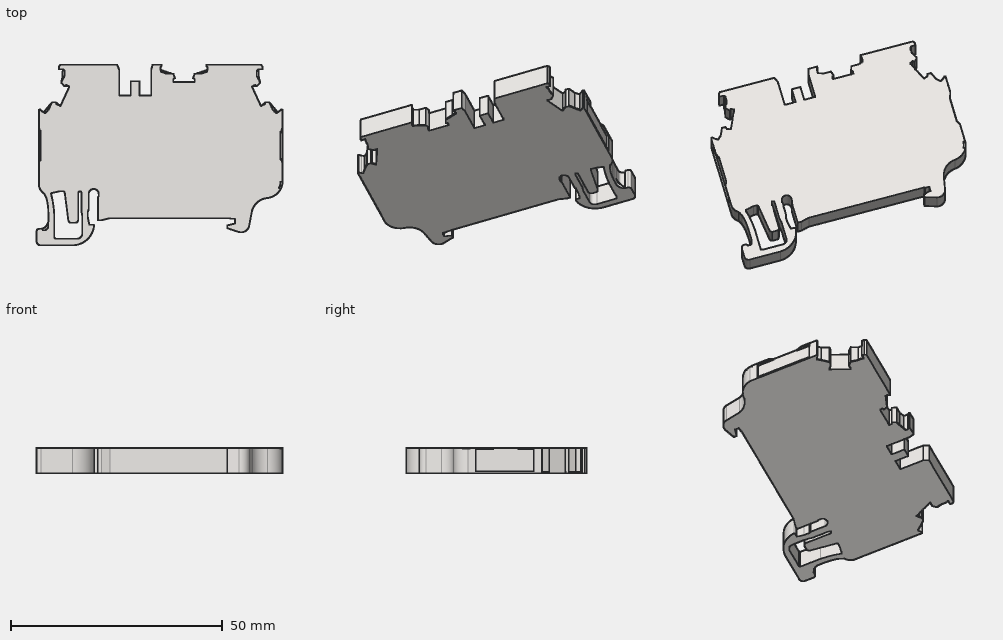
import cadquery as cq
import math

THICKNESS = 6.0
TOP_Y = 42.65
HALF_WIDTH = 28.75
SEAT_Y = 6.4
OVERCUT = 1.0
ARC_INSET = 1 - math.sqrt(0.5)

FOOT_LEFT_X = -29.3
FOOT_TOP_Y = 3.95
FOOT_BOTTOM_RADIUS = 1.0
FOOT_TOP_RADIUS = 0.7
FOOT_ARM_X = -26.5
GUSSET_HEIGHT = 1.8
GUSSET_DROP = 1.7
GUSSET_TOE = (-28.05, FOOT_TOP_Y)
GUSSET_MIDDLE = (-26.935, 4.68)
GUSSET_HEAD = (FOOT_ARM_X, 5.95)

STEP_DEPTH = 0.2

SHELF_HEIGHT = 0.3

LABEL_TOP_Y = 30.1
LABEL_BOTTOM_Y = 16.45
LABEL_DEPTH = 0.5
LABEL_FLOOR_Z = 0.5
LABEL_CEILING_Z = 5.65
NOTCH_TOP_Y = 27.9
NOTCH_BOTTOM_Y = 19.5
NOTCH_TOP_SLOPE = 1.4
NOTCH_BOTTOM_SLOPE = 1.0

JUMPER_LEFT_X = -9.72
JUMPER_RIGHT_X = -2.27
JUMPER_FLOOR_Y = 35.4
JUMPER_LEAD_IN = 1.25
JUMPER_LEFT_FLARE = 0.55
JUMPER_RIGHT_FLARE = 0.33
PEG_LEFT_X = -7.07
PEG_RIGHT_X = -4.95
PEG_TOP_Y = 38.75

MARKER_X = 5.5
MARKER_HALF_WIDTH = 5.5
MARKER_FLOOR_HALF_WIDTH = 2.5
MARKER_FLOOR_Y = 38.6
MARKER_STEP_Y = 40.55
MARKER_LIP = 0.25

ENTRY_PROFILE = [
    (23.7, TOP_Y),
    (24.03, 42.2),
    (24.03, 41.55),
    (23.0, 41.55),
    (23.19, 40.9),
    (23.19, 39.8),
    (23.5, 38.4),
    (22.64, 37.5),
    (21.55, 37.5),
    (23.68, 32.9),
    (24.73, 33.8),
    (25.62, 33.8),
    (27.6, 31.45),
    (27.94, 31.65),
    (28.44, 32.1),
    (HALF_WIDTH, 32.0),
]

ENTRY_POCKETS = [
    [(23.0, 41.55), (22.65, 41.2), (22.65, 40.0), (23.5, 38.4), (23.8, 39.8), (23.8, 41.55)],
    [(21.55, 37.5), (22.3, 37.9), (22.64, 37.5)],
    [(23.68, 32.9), (24.6, 33.3), (24.73, 33.8), (24.0, 33.8)],
    [(25.62, 33.8), (26.4, 32.05), (27.3, 31.15), (27.6, 31.45)],
]


def prism(points, bottom=0.0, top=THICKNESS):
    """Straight-sided solid over a closed polygon between two Z levels."""
    return cq.Workplane("XY").workplane(offset=bottom).polyline(points).close().extrude(top - bottom)


def at_end(points, side):
    """Place (distance, Y) points at the -X end (side = -1) or the +X end (side = 1)."""
    return [(side * distance, y) for distance, y in points]


def make_body():
    bottom_inset = FOOT_BOTTOM_RADIUS * ARC_INSET
    top_inset = FOOT_TOP_RADIUS * ARC_INSET
    outline = cq.Workplane("XY").moveTo(-ENTRY_PROFILE[0][0], TOP_Y)
    for point in at_end(ENTRY_PROFILE, 1):
        outline = outline.lineTo(*point)
    outline = (
        outline.lineTo(HALF_WIDTH, 14.5)
        .threePointArc((27.75, 12.5), (25.1, 11.15))
        .threePointArc((22.5, 9.85), (21.6, 8.3))
        .lineTo(20.9, 4.6)
        .threePointArc((19.85, 3.27), (18.4, 3.15))
        .lineTo(15.7, 4.05)
        .lineTo(15.7, 4.75)
        .lineTo(17.5, 5.2)
        .lineTo(17.5, 6.25)
        .lineTo(16.5, 6.25)
        .lineTo(16.3, SEAT_Y)
        .lineTo(-12.0, SEAT_Y)
        .lineTo(-14.0, 5.9)
        .lineTo(-14.84, 5.9)
    )
    outline = (
        outline.lineTo(-14.84, 11.4)
        .lineTo(-14.65, 11.6)
        .lineTo(-14.65, 12.15)
        .threePointArc((-15.8, 13.3), (-16.95, 12.15))
        .lineTo(-16.95, 8.5)
        .lineTo(-17.15, 8.0)
        .lineTo(-17.15, 6.6)
        .lineTo(-16.8, 4.9)
        .lineTo(-15.95, 4.9)
        .threePointArc((-15.75, 4.8), (-15.68, 4.6))
    )
    outline = outline.threePointArc((-17.2, 1.5), (-20.8, 0)).lineTo(FOOT_LEFT_X + FOOT_BOTTOM_RADIUS, 0)
    outline = (
        outline.threePointArc(
            (FOOT_LEFT_X + bottom_inset, bottom_inset), (FOOT_LEFT_X, FOOT_BOTTOM_RADIUS)
        )
        .lineTo(FOOT_LEFT_X, FOOT_TOP_Y - FOOT_TOP_RADIUS)
        .threePointArc(
            (FOOT_LEFT_X + top_inset, FOOT_TOP_Y - top_inset), (FOOT_LEFT_X + FOOT_TOP_RADIUS, FOOT_TOP_Y)
        )
        .lineTo(*GUSSET_TOE)
        .threePointArc(GUSSET_MIDDLE, GUSSET_HEAD)
        .lineTo(FOOT_ARM_X, 7.4)
        .lineTo(-26.57, 8.7)
        .threePointArc((-26.72, 10.0), (-27.02, 11.25))
        .lineTo(-27.5, 12.2)
        .threePointArc((-28.3, 13.0), (-HALF_WIDTH, 14.0))
    )
    for point in reversed(at_end(ENTRY_PROFILE, -1)):
        outline = outline.lineTo(*point)
    return outline.close().extrude(THICKNESS)


def foot_window():
    """Opening inside the foot, with the spring tongue hanging into it."""
    return (
        cq.Workplane("XY")
        .moveTo(-25.85, 12.3)
        .threePointArc((-25.3, 9.6), (-25.05, 7.0))
        .lineTo(-25.05, 1.85)
        .lineTo(-24.8, 1.6)
        .lineTo(-19.8, 1.6)
        .threePointArc((-18.85, 2.0), (-18.5, 2.9))
        .lineTo(-18.5, 7.0)
        .lineTo(-18.72, 8.0)
        .lineTo(-18.72, 12.4)
        .threePointArc((-19.08, 12.75), (-19.43, 12.4))
        .lineTo(-19.43, 6.2)
        .threePointArc((-19.6, 5.6), (-20.1, 5.3))
        .lineTo(-21.3, 5.3)
        .threePointArc((-21.65, 5.6), (-21.85, 6.2))
        .lineTo(-22.65, 12.4)
        .lineTo(-22.85, 12.75)
        .lineTo(-23.8, 12.75)
        .close()
        .extrude(THICKNESS)
    )


def gusset_relief():
    """Space above the sloped gusset in the corner between foot and arm."""
    toe_x = GUSSET_TOE[0]
    corner = (
        cq.Workplane("XY")
        .moveTo(*GUSSET_HEAD)
        .lineTo(FOOT_ARM_X, 4.4)
        .threePointArc((-26.95, 3.75), (-27.75, 3.55))
        .lineTo(*GUSSET_TOE)
        .lineTo(toe_x, GUSSET_HEAD[1])
        .close()
        .extrude(THICKNESS)
    )
    above_slope = (
        cq.Workplane("XZ")
        .moveTo(FOOT_ARM_X, THICKNESS + OVERCUT)
        .lineTo(FOOT_ARM_X, GUSSET_HEIGHT)
        .lineTo(toe_x, GUSSET_HEIGHT - GUSSET_DROP)
        .lineTo(toe_x, THICKNESS + OVERCUT)
        .close()
        .extrude(-TOP_Y)
    )
    return corner.intersect(above_slope)


def corner_step():
    """Shallow step along the rounded +X corner of the upper face."""
    return (
        cq.Workplane("XY")
        .workplane(offset=THICKNESS - STEP_DEPTH)
        .moveTo(HALF_WIDTH, 15.05)
        .lineTo(28.25, 15.05)
        .threePointArc((28.17, 14.3), (27.9, 13.6))
        .lineTo(28.4, 13.3)
        .lineTo(HALF_WIDTH, 13.3)
        .close()
        .extrude(STEP_DEPTH)
    )


def jumper_slot():
    mouth_y = TOP_Y - JUMPER_LEAD_IN
    slot = prism([
        (JUMPER_LEFT_X - JUMPER_LEFT_FLARE, TOP_Y),
        (JUMPER_LEFT_X, mouth_y),
        (JUMPER_LEFT_X, JUMPER_FLOOR_Y),
        (JUMPER_RIGHT_X, JUMPER_FLOOR_Y),
        (JUMPER_RIGHT_X, mouth_y),
        (JUMPER_RIGHT_X + JUMPER_RIGHT_FLARE, TOP_Y),
    ])
    peg = prism([
        (PEG_LEFT_X, JUMPER_FLOOR_Y),
        (PEG_LEFT_X, PEG_TOP_Y),
        (PEG_RIGHT_X, PEG_TOP_Y),
        (PEG_RIGHT_X, JUMPER_FLOOR_Y),
    ])
    return slot.cut(peg)


def marker_groove():
    """Snap-in groove with lips, plus the shallow pockets along its sloped shoulders."""
    half_profile = [
        (MARKER_HALF_WIDTH - MARKER_LIP, TOP_Y),
        (MARKER_HALF_WIDTH - MARKER_LIP, 42.35),
        (MARKER_HALF_WIDTH, 42.05),
        (MARKER_HALF_WIDTH, 41.45),
        (2.9, MARKER_STEP_Y),
        (MARKER_FLOOR_HALF_WIDTH, MARKER_STEP_Y),
        (2.1, 39.45),
        (MARKER_FLOOR_HALF_WIDTH, 39.25),
        (MARKER_FLOOR_HALF_WIDTH, MARKER_FLOOR_Y),
    ]
    shoulder = [
        (MARKER_HALF_WIDTH, 41.45),
        (MARKER_HALF_WIDTH, 41.0),
        (4.25, MARKER_STEP_Y),
        (2.9, MARKER_STEP_Y),
    ]
    right = [(MARKER_X + distance, y) for distance, y in half_profile]
    left = [(MARKER_X - distance, y) for distance, y in half_profile]
    groove = prism(right + left[::-1])
    for side in (-1, 1):
        pocket = [(MARKER_X + side * distance, y) for distance, y in shoulder]
        groove = groove.union(prism(pocket, SHELF_HEIGHT))
    return groove


def label_pocket(side):
    """Pocket in one end face with a sloped opening through its upper lip."""
    inner = HALF_WIDTH - LABEL_DEPTH
    outer = HALF_WIDTH + OVERCUT
    recess = [(inner, LABEL_TOP_Y), (outer, LABEL_TOP_Y), (outer, LABEL_BOTTOM_Y), (inner, LABEL_BOTTOM_Y)]
    notch = [
        (HALF_WIDTH, NOTCH_TOP_Y),
        (inner, NOTCH_TOP_Y - NOTCH_TOP_SLOPE),
        (inner, NOTCH_BOTTOM_Y + NOTCH_BOTTOM_SLOPE),
        (HALF_WIDTH, NOTCH_BOTTOM_Y),
    ]
    pocket = prism(at_end(recess, side), LABEL_FLOOR_Z, LABEL_CEILING_Z)
    return pocket.union(prism(at_end(notch, side), LABEL_FLOOR_Z))


result = make_body()
result = result.cut(foot_window())
result = result.cut(gusset_relief())
result = result.cut(corner_step())
result = result.cut(jumper_slot())
result = result.cut(marker_groove())
for end_side in (-1, 1):
    result = result.cut(label_pocket(end_side))
    for entry_pocket in ENTRY_POCKETS:
        result = result.cut(prism(at_end(entry_pocket, end_side), SHELF_HEIGHT))